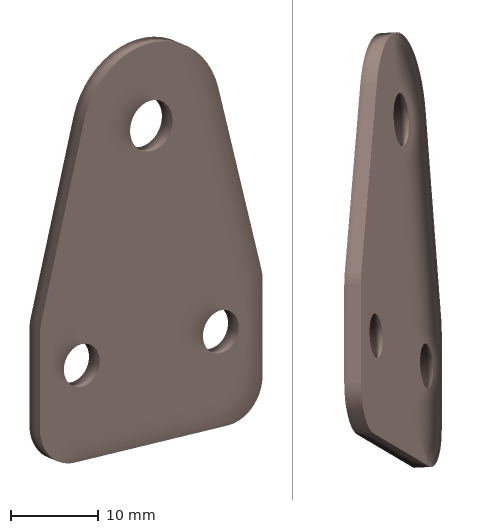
import cadquery as cq
import math

thickness = 2.0
width = 32.0
height = 48.25
top_radius = 10.0
corner_radius = 5.0
taper_angle = math.radians(15)

top_hole_diameter = 6.1
lower_hole_diameter = 5.1
lower_hole_spacing = 20.0
lower_hole_height = 11.5

half_width = width / 2
top_center_z = height - top_radius
tangent_y = top_radius * math.cos(taper_angle)
tangent_z = top_center_z + top_radius * math.sin(taper_angle)
shoulder_z = tangent_z - (half_width - tangent_y) / math.tan(taper_angle)


def make_plate():
    """Tapered plate with a round top and rounded lower and shoulder corners."""
    plate = (
        cq.Workplane("YZ")
        .moveTo(-half_width, 0)
        .lineTo(half_width, 0)
        .lineTo(half_width, shoulder_z)
        .lineTo(tangent_y, tangent_z)
        .threePointArc((0, height), (-tangent_y, tangent_z))
        .lineTo(-half_width, shoulder_z)
        .close()
        .extrude(thickness / 2, both=True)
    )
    corners = cq.selectors.BoxSelector(
        (-thickness, -width, -corner_radius),
        (thickness, width, shoulder_z + corner_radius),
    )
    return plate.edges("|X").edges(corners).fillet(corner_radius)


def cut_hole(plate, diameter, y, z):
    """Cut a round hole through the full plate thickness."""
    start_x = -thickness
    cutter = (
        cq.Workplane("YZ", origin=(start_x, y, z))
        .circle(diameter / 2)
        .extrude(2 * thickness)
    )
    return plate.cut(cutter)


result = make_plate()
result = cut_hole(result, top_hole_diameter, 0, top_center_z)
for side in (-1, 1):
    hole_y = side * lower_hole_spacing / 2
    result = cut_hole(result, lower_hole_diameter, hole_y, lower_hole_height)